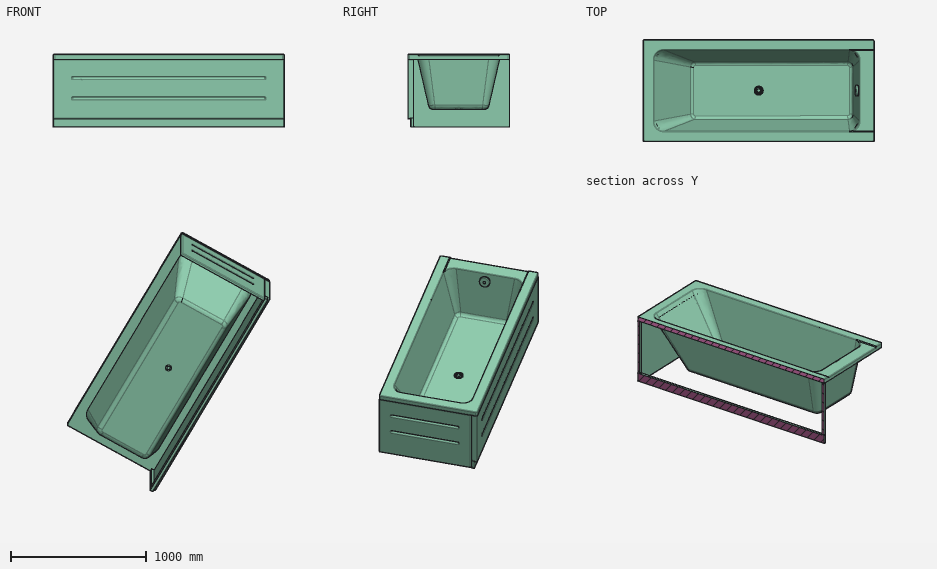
import cadquery as cq
import math

LENGTH = 1700.0
WIDTH = 750.0
HEIGHT = 535.0
LEFT = -LENGTH / 2
RIGHT = LENGTH / 2
FRONT = -WIDTH / 2
BACK = WIDTH / 2

RIM_THICKNESS = 37.0
RIM_CORNER_RADIUS = 14.0
RIM_EDGE_RADIUS = 5.0
RIM_BOTTOM = HEIGHT - RIM_THICKNESS
BASIN_FLOOR_Z = 140.0
BASIN_DEPTH = HEIGHT - BASIN_FLOOR_Z
BASIN_WALL = 10.0
MOUTH_LEFT = -774.0
MOUTH_RIGHT = 743.0
MOUTH_WIDTH = 598.0
MOUTH_CORNER_RADIUS = 75.0
MOUTH_EDGE_RADIUS = 5.0
FLOOR_LEFT = -493.0
FLOOR_RIGHT = 690.0
FLOOR_WIDTH = 411.0
FLOOR_CORNER_RADIUS = 34.0
FLOOR_EDGE_RADIUS = 27.0

DECK_RECESS_DEPTH = 7.0
DECK_RECESS_SLOPE = 7.0
DECK_RECESS_START = MOUTH_RIGHT - MOUTH_CORNER_RADIUS

PANEL_THICKNESS = 20.0
FRONT_PANEL_DEPTH = 43.0
FRONT_PANEL_LIP_Z = 60.0
FRONT_PANEL_EDGE_RADIUS = 5.0
PANEL_TOP_EDGE_RADIUS = 5.0
LIP_EDGE_RADIUS = 7.0
PLINTH_HEIGHT = 68.0
PLINTH_EDGE_RADIUS = 5.0
END_PANEL_BACK_EDGE_RADIUS = 9.0
END_PANEL_FRONT_EDGE_RADIUS = 12.0
PANEL_INNER_Y = FRONT + FRONT_PANEL_DEPTH
PLINTH_FRONT_Y = FRONT + PANEL_THICKNESS

GROOVE_DIAMETER = 20.0
GROOVE_LIP_RADIUS = 2.5
GROOVE_HEIGHTS = (210.0, 360.0)
FRONT_GROOVE_LENGTH = 1428.0
END_GROOVE_LENGTH = 522.0
END_GROOVE_CENTRE_Y = 25.0

DRAIN_FLANGE_DIAMETER = 66.0
DRAIN_FLANGE_THICKNESS = 5.0
DRAIN_NECK_DIAMETER = 45.0
DRAIN_BORE_DIAMETER = 25.0
PLUG_DIAMETER = 53.0
PLUG_DOME_HEIGHT = 7.0

OVERFLOW_Z = 462.0
OVERFLOW_BASE_DIAMETER = 78.0
OVERFLOW_BASE_THICKNESS = 5.0
OVERFLOW_CAP_DIAMETER = 80.0
OVERFLOW_CAP_THICKNESS = 15.0
OVERFLOW_CAP_EDGE_RADIUS = 3.0
OVERFLOW_BOSS_DIAMETER = 20.0
OVERFLOW_BOSS_HEIGHT = 2.0


def box(x_range, y_range, z_range):
    """Axis-aligned box between the given limits."""
    low, high = zip(x_range, y_range, z_range)
    size = [b - a for a, b in zip(low, high)]
    return cq.Workplane("XY").box(*size, centered=False).translate(low)


def tapered_bowl(offset):
    """Basin volume from the mouth down to the floor, grown outward by the offset."""

    def outline(left, right, width, radius):
        sketch = cq.Sketch().rect(right - left + 2 * offset, width + 2 * offset)
        return sketch.vertices().fillet(radius + offset)

    mouth = outline(MOUTH_LEFT, MOUTH_RIGHT, MOUTH_WIDTH, MOUTH_CORNER_RADIUS)
    floor = outline(FLOOR_LEFT, FLOOR_RIGHT, FLOOR_WIDTH, FLOOR_CORNER_RADIUS)
    mouth_place = cq.Location(cq.Vector((MOUTH_LEFT + MOUTH_RIGHT) / 2, 0, HEIGHT))
    floor_place = cq.Location(cq.Vector((FLOOR_LEFT + FLOOR_RIGHT) / 2, 0, BASIN_FLOOR_Z - offset))
    bowl = cq.Workplane("XY").placeSketch(floor.moved(floor_place), mouth.moved(mouth_place)).loft(ruled=True)
    return bowl.faces("<Z").edges().fillet(FLOOR_EDGE_RADIUS + offset)


def deck_recess():
    """Shallow trough with sloping sides, running out through the foot end."""
    half = MOUTH_WIDTH / 2
    deck_z = HEIGHT - DECK_RECESS_DEPTH
    profile = [
        (-half - DECK_RECESS_SLOPE / 2, HEIGHT),
        (half + DECK_RECESS_SLOPE / 2, HEIGHT),
        (half - DECK_RECESS_SLOPE / 2, deck_z),
        (-half + DECK_RECESS_SLOPE / 2, deck_z),
    ]
    trough = cq.Workplane("YZ", origin=(DECK_RECESS_START, 0, 0)).polyline(profile).close()
    return trough.extrude(RIGHT - DECK_RECESS_START)


def make_tub():
    """Rim slab with a thin-walled bowl hanging below it and a hole for the drain."""
    rim = box((LEFT, RIGHT), (FRONT, BACK), (RIM_BOTTOM, HEIGHT))
    rim = rim.edges("|Z").fillet(RIM_CORNER_RADIUS)
    rim = rim.faces(">Z").edges().fillet(RIM_EDGE_RADIUS)
    shell_below_rim = tapered_bowl(BASIN_WALL).intersect(
        box((LEFT, RIGHT), (FRONT, BACK), (0, HEIGHT - RIM_EDGE_RADIUS - DECK_RECESS_DEPTH))
    )
    tub = rim.union(shell_below_rim).cut(tapered_bowl(0))
    mouth_edges = tub.faces(">Z").val().innerWires()[0].Edges()
    tub = tub.newObject(mouth_edges).fillet(MOUTH_EDGE_RADIUS)

    tub = tub.cut(deck_recess())
    deck_point = ((MOUTH_RIGHT + RIGHT) / 2, 0, HEIGHT - DECK_RECESS_DEPTH)
    deck = tub.faces(cq.selectors.NearestToPointSelector(deck_point))
    tub = deck.edges("not |X").fillet(MOUTH_EDGE_RADIUS)

    drain_hole = cq.Workplane("XY").circle(DRAIN_NECK_DIAMETER / 2).extrude(HEIGHT)
    return tub.cut(drain_hole)


def cut_grooves(panel, outer_side, length, turn, place):
    """Cut the round-ended grooves at a turn about Z, then round their lips."""
    radius = GROOVE_DIAMETER / 2
    straight = length - GROOVE_DIAMETER
    for z in GROOVE_HEIGHTS:
        tool = cq.Workplane("YZ", origin=(-straight / 2, 0, 0)).circle(radius).extrude(straight)
        for end in (-straight / 2, straight / 2):
            tool = tool.union(cq.Workplane("XY").sphere(radius).translate((end, 0, 0)))
        tool = tool.rotate((0, 0, 0), (0, 0, 1), turn)
        panel = panel.cut(tool.translate((place[0], place[1], z)))
    lips = [edge for wire in panel.faces(outer_side).val().innerWires() for edge in wire.Edges()]
    return panel.newObject(lips).fillet(GROOVE_LIP_RADIUS)


def make_front_panel():
    """Front plate with a flange returning at each end and a lip over the plinth."""
    panel = box((LEFT, RIGHT), (FRONT, PANEL_INNER_Y), (FRONT_PANEL_LIP_Z, RIM_BOTTOM))
    panel = panel.cut(box((LEFT, RIGHT), (PLINTH_FRONT_Y, PANEL_INNER_Y), (0, PLINTH_HEIGHT)))
    hollow_x = (LEFT + PANEL_THICKNESS, RIGHT - PANEL_THICKNESS)
    panel = panel.cut(box(hollow_x, (PLINTH_FRONT_Y, PANEL_INNER_Y), (0, HEIGHT)))
    panel = panel.faces("<Y").edges("|Z").fillet(FRONT_PANEL_EDGE_RADIUS)
    panel = panel.faces("<Z").edges("<Y").fillet(LIP_EDGE_RADIUS)
    panel = panel.faces(">Z").edges("<Y").fillet(PANEL_TOP_EDGE_RADIUS)
    return cut_grooves(panel, "<Y", FRONT_GROOVE_LENGTH, 0, (0, FRONT))


def make_plinth():
    """Set-back bar under the front panel."""
    plinth = box((LEFT, RIGHT), (PLINTH_FRONT_Y, PANEL_INNER_Y), (0, PLINTH_HEIGHT))
    return plinth.faces("<Y").edges("|Z or <Z").fillet(PLINTH_EDGE_RADIUS)


def make_end_panel():
    """Flat panel closing the head (-X) end."""
    panel = box((LEFT, LEFT + PANEL_THICKNESS), (PANEL_INNER_Y, BACK), (0, RIM_BOTTOM))
    panel = panel.edges("|Z and <X and >Y").fillet(END_PANEL_BACK_EDGE_RADIUS)
    panel = panel.edges("|Z and <X and <Y").fillet(END_PANEL_FRONT_EDGE_RADIUS)
    panel = panel.faces("<X").edges("|Y").fillet(PANEL_TOP_EDGE_RADIUS)
    return cut_grooves(panel, "<X", END_GROOVE_LENGTH, 90, (LEFT, END_GROOVE_CENTRE_Y))


def make_drain_flange():
    """Ring on the basin floor with a neck through the drain hole."""
    flange = cq.Workplane("XY", origin=(0, 0, BASIN_FLOOR_Z)).circle(DRAIN_FLANGE_DIAMETER / 2)
    flange = flange.extrude(DRAIN_FLANGE_THICKNESS)
    neck = cq.Workplane("XY", origin=(0, 0, BASIN_FLOOR_Z)).circle(DRAIN_NECK_DIAMETER / 2)
    flange = flange.union(neck.extrude(-BASIN_WALL))
    return flange.faces(">Z").workplane().hole(DRAIN_BORE_DIAMETER)


def make_drain_plug():
    """Domed cap over the flange with a stem filling the bore."""
    cap_z = BASIN_FLOOR_Z + DRAIN_FLANGE_THICKNESS
    stem_radius = DRAIN_BORE_DIAMETER / 2
    cap_radius = PLUG_DIAMETER / 2
    dome_radius = (cap_radius**2 + PLUG_DOME_HEIGHT**2) / (2 * PLUG_DOME_HEIGHT)
    half_angle = math.asin(cap_radius / dome_radius) / 2
    dome_middle = (
        dome_radius * math.sin(half_angle),
        cap_z + PLUG_DOME_HEIGHT - dome_radius * (1 - math.cos(half_angle)),
    )
    stem_bottom = BASIN_FLOOR_Z - BASIN_WALL
    section = (
        cq.Workplane("XZ")
        .moveTo(0, stem_bottom)
        .lineTo(stem_radius, stem_bottom)
        .lineTo(stem_radius, cap_z)
        .lineTo(cap_radius, cap_z)
        .threePointArc(dome_middle, (0, cap_z + PLUG_DOME_HEIGHT))
        .close()
    )
    return section.revolve(360, (0, 0), (0, 1))


def overflow_plane(stand_off):
    """Plane parallel to the sloping foot wall, this far off it, facing into the basin."""
    run = MOUTH_RIGHT - FLOOR_RIGHT
    slope = math.hypot(run, BASIN_DEPTH)
    normal = (-BASIN_DEPTH / slope, 0, run / slope)
    wall_x = MOUTH_RIGHT - run * (HEIGHT - OVERFLOW_Z) / BASIN_DEPTH
    origin = (wall_x + stand_off * normal[0], 0, OVERFLOW_Z + stand_off * normal[2])
    return cq.Workplane(cq.Plane(origin=origin, xDir=(0, 1, 0), normal=normal))


def make_overflow_base():
    """Thin disc lying on the foot wall."""
    return overflow_plane(0).circle(OVERFLOW_BASE_DIAMETER / 2).extrude(OVERFLOW_BASE_THICKNESS)


def make_overflow_cap():
    """Round cover on the base, with a small boss at its centre."""
    cap = overflow_plane(OVERFLOW_BASE_THICKNESS).circle(OVERFLOW_CAP_DIAMETER / 2)
    cap = cap.extrude(OVERFLOW_CAP_THICKNESS).faces("<X").edges().fillet(OVERFLOW_CAP_EDGE_RADIUS)
    boss = overflow_plane(OVERFLOW_BASE_THICKNESS + OVERFLOW_CAP_THICKNESS)
    return cap.union(boss.circle(OVERFLOW_BOSS_DIAMETER / 2).extrude(OVERFLOW_BOSS_HEIGHT))


tub = make_tub()
front_panel = make_front_panel()
plinth = make_plinth()
end_panel = make_end_panel()
drain_flange = make_drain_flange()
drain_plug = make_drain_plug()
overflow_base = make_overflow_base()
overflow_cap = make_overflow_cap()

result = cq.Compound.makeCompound([
    tub.val(),
    front_panel.val(),
    plinth.val(),
    end_panel.val(),
    drain_flange.val(),
    drain_plug.val(),
    overflow_base.val(),
    overflow_cap.val(),
])